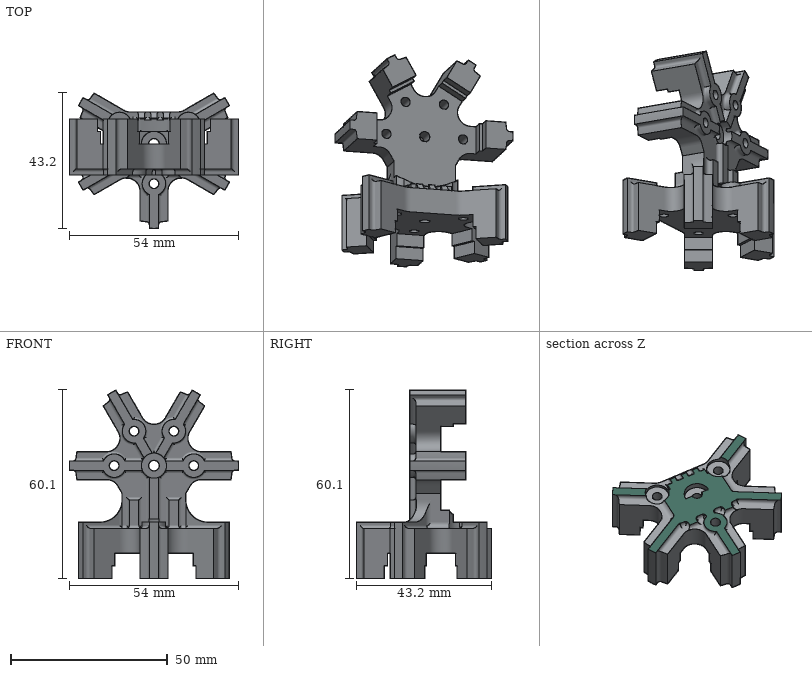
import cadquery as cq
import math

core_radius = 27.0
flange_radius = 25.0
core_half = 1.5
flange_half = 4.5
core_rise = 2.0
root_fillet = 1.0
hub_depth = 10.0
step_depth = 14.0
arm_depth = 18.0
hub_notch = 17.0
step_notch = 18.0

flat_distance = 13.25
web_fillet = 4.0
arm_pitch = 60.0
half_pitch = math.radians(arm_pitch / 2)

boss_distance = 12.7
boss_radius = 3.75
arm_hole_radius = 1.5
boss_fillet = 0.75
hub_recess_radius = 4.0
hub_recess_depth = 3.0
hub_hole_radius = 1.65

base_top = -arm_depth
base_face = base_top - core_rise
base_hub_bottom = base_top - hub_depth
upright_front = -hub_depth
plate_front = upright_front + core_rise
upright_arms = (0, 60, 120, 180)
base_arms = (-150, -90, -30, 30, 150)
base_boss_arm = -90
base_recess_arms = (30, 150)

plate_half = 10.2
block_back = 4.0
mate_clearance = 0.5
side_foot_fillet = 2.0
side_foot_length = 10.0
stem_clearance_radius = 4.5
stem_clearance_height = 1.0
rear_space_height = 8.0
side_rib_x = boss_distance / 2
rib_base_half = core_half + 2 * root_fillet
side_rib_top = -11.0
gusset_radius = 7.0
gusset_blend = 2.0
gusset_setback = 0.2

base_back = 10.2
pad_half = 6.75
pad_back = 7.65
trough_back = 8.0
rear_rib_pitch = 4.0
rear_rib_half = 1.0
rear_rib_fillet = 0.75

arc_mid = 1 - math.sqrt(0.5)


def on_circle(radius, across):
    """Distance along an arm at which a circle about the axis is reached, off the centre line."""
    return math.sqrt(radius ** 2 - across ** 2)


def flared_section(plane, half, height, fillet, base_half, base_depth, length):
    """Bar of the given half width, blended by concave fillets into a wider base below height 0."""
    mid = arc_mid * fillet
    return (
        cq.Workplane(plane)
        .moveTo(-base_half, -base_depth)
        .lineTo(base_half, -base_depth)
        .lineTo(base_half, 0)
        .lineTo(half + fillet, 0)
        .threePointArc((half + mid, mid), (half, fillet))
        .lineTo(half, height)
        .lineTo(-half, height)
        .lineTo(-half, fillet)
        .threePointArc((-half - mid, mid), (-half - fillet, 0))
        .lineTo(-base_half, 0)
        .close()
        .extrude(length)
    )


def arm():
    """Arm along +X, with its core face at Z = 0."""
    tip_shoulder = on_circle(flange_radius, core_half + root_fillet)
    blend_end = tip_shoulder + root_fillet
    mid = arc_mid * root_fillet
    flange_corner = on_circle(flange_radius, flange_half)
    flange_mid = (flange_half + core_half + root_fillet) / 2
    core_corner = on_circle(core_radius, core_half)
    plan = (
        cq.Workplane("XY")
        .moveTo(0, -flange_half)
        .lineTo(flange_corner, -flange_half)
        .threePointArc(
            (on_circle(flange_radius, flange_mid), -flange_mid),
            (tip_shoulder, -core_half - root_fillet),
        )
        .threePointArc((tip_shoulder + mid, -core_half - mid), (blend_end, -core_half))
        .lineTo(core_corner, -core_half)
        .threePointArc((core_radius, 0), (core_corner, core_half))
        .lineTo(blend_end, core_half)
        .threePointArc((tip_shoulder + mid, core_half + mid), (tip_shoulder, core_half + root_fillet))
        .threePointArc((on_circle(flange_radius, flange_mid), flange_mid), (flange_corner, flange_half))
        .lineTo(0, flange_half)
        .close()
        .extrude(-arm_depth)
    )
    section = flared_section(
        "YZ", core_half, core_rise, root_fillet, flange_half, arm_depth, core_radius
    ).translate((0, 0, -core_rise))
    side = (
        cq.Workplane("XZ")
        .polyline([
            (0, 0),
            (core_radius, 0),
            (core_radius, -arm_depth),
            (step_notch, -arm_depth),
            (step_notch, -step_depth),
            (hub_notch, -step_depth),
            (hub_notch, -hub_depth),
            (0, -hub_depth),
        ])
        .close()
        .extrude(flange_half, both=True)
    )
    return plan.intersect(section).intersect(side)


def boss(radius, fillet):
    """Round boss at the origin with its top at Z = 0 and a concave fillet around its foot."""
    mid = arc_mid * fillet
    return (
        cq.Workplane("XZ")
        .moveTo(0, 0)
        .lineTo(radius, 0)
        .lineTo(radius, fillet - core_rise)
        .threePointArc((radius + mid, mid - core_rise), (radius + fillet, -core_rise))
        .lineTo(0, -core_rise)
        .close()
        .revolve(360, (0, 0, 0), (0, 1, 0))
    )


def arm_boss():
    """Boss on an arm along +X, trimmed to the flange width."""
    blank = boss(boss_radius, boss_fillet).translate((boss_distance, 0, 0))
    return blank.intersect(cq.Workplane("XY").box(2 * core_radius, 2 * flange_half, 2 * core_rise))


def web_points():
    """One half of the outline between two arms, in axes turned so that X bisects the arms.

    Returns the points on the flange edge, the middle of the blend and the start of the flat.
    """
    corner = (flat_distance * math.sin(half_pitch) - flange_half) / math.cos(half_pitch)
    flat_half = corner - web_fillet * math.tan(half_pitch)
    centre = (flat_distance + web_fillet, flat_half)

    def blend_point(turn):
        return (centre[0] - web_fillet * math.cos(turn), centre[1] + web_fillet * math.sin(turn))

    return blend_point(2 * half_pitch), blend_point(half_pitch), (flat_distance, flat_half)


def web(angle):
    """Hub body between two arms, about the given direction."""
    edge, mid, flat = web_points()
    return (
        cq.Workplane("XY")
        .workplane(offset=-hub_depth)
        .moveTo(0, 0)
        .lineTo(edge[0], -edge[1])
        .threePointArc((mid[0], -mid[1]), (flat[0], -flat[1]))
        .lineTo(*flat)
        .threePointArc(mid, edge)
        .close()
        .extrude(hub_depth - core_rise)
        .rotate((0, 0, 0), (0, 0, 1), angle)
    )


def turned(shape, angle):
    return shape.rotate((0, 0, 0), (0, 0, 1), angle)


def hub(arm_angles, boss_angles, web_angles):
    """Hub about the Z axis with its core face at Z = 0."""
    body = boss(boss_radius, root_fillet)
    for angle in web_angles:
        body = body.union(web(angle))
    for angle in arm_angles:
        body = body.union(turned(arm(), angle))
    for angle in boss_angles:
        body = body.union(turned(arm_boss(), angle))
    return body


def arm_holes(angles):
    holes = cq.Workplane("XY")
    for angle in angles:
        hole = cq.Workplane("XY").center(boss_distance, 0).circle(arm_hole_radius).extrude(-hub_depth)
        holes = holes.add(turned(hole, angle))
    return holes.combine()


def to_upright(shape):
    """Turns a hub about Z into the upright hub about Y, facing -Y."""
    return shape.rotate((0, 0, 0), (1, 0, 0), 90).translate((0, upright_front, 0))


def to_base(shape):
    return shape.translate((0, 0, base_top))


def base_rear():
    """Body of the base hub between the two rear arms, ending in a straight back edge."""
    slope = half_pitch
    corner_x = (base_back - flange_half / math.cos(slope)) / math.tan(slope)
    setback = web_fillet * math.tan(slope / 2)
    flat_x = corner_x - setback
    edge = (corner_x + setback * math.cos(slope), base_back + setback * math.sin(slope))
    mid = (
        flat_x + web_fillet * math.sin(slope / 2),
        base_back + web_fillet * (1 - math.cos(slope / 2)),
    )
    return (
        cq.Workplane("XY")
        .workplane(offset=base_hub_bottom)
        .moveTo(0, 0)
        .lineTo(*edge)
        .threePointArc(mid, (flat_x, base_back))
        .lineTo(-flat_x, base_back)
        .threePointArc((-mid[0], mid[1]), (-edge[0], edge[1]))
        .close()
        .extrude(base_face - base_hub_bottom)
    )


def plate_half_body():
    """The +X half of the plate that runs down from the upright hub to the base."""
    edge, mid, flat = web_points()

    def place(point):
        x, z = point
        turn = -half_pitch
        return (
            x * math.cos(turn) - z * math.sin(turn),
            x * math.sin(turn) + z * math.cos(turn),
        )

    shoulder_z = (plate_half * math.cos(half_pitch) - flat_distance) / math.sin(half_pitch)
    return (
        cq.Workplane("XZ")
        .moveTo(0, 0)
        .lineTo(*place(edge))
        .threePointArc(place(mid), place(flat))
        .lineTo(plate_half, shoulder_z)
        .lineTo(plate_half, base_face)
        .lineTo(0, base_face)
        .close()
        .extrude(-plate_front)
    )


def cylinder_y(radius, y_start, y_end):
    return cq.Workplane("XZ").workplane(offset=-y_start).circle(radius).extrude(y_start - y_end)


def rear_block():
    """Block behind the plate, hollowed to clear a part that turns about the upright axis."""
    height = -base_face
    block = cq.Workplane("XY").box(2 * plate_half, block_back, height, centered=(True, False, False))
    block = block.translate((0, 0, base_face))
    return block.cut(cylinder_y(hub_notch + mate_clearance, 0, block_back))


def rear_pad():
    """Pad behind the block, level with the base core, with a blended back foot and three ramped ribs."""
    mid = arc_mid * root_fillet
    pad = (
        cq.Workplane("YZ")
        .moveTo(block_back, base_face)
        .lineTo(pad_back + root_fillet, base_face)
        .threePointArc((pad_back + mid, base_face + mid), (pad_back, base_face + root_fillet))
        .lineTo(pad_back, base_top)
        .lineTo(block_back, base_top)
        .close()
        .extrude(pad_half, both=True)
    )
    ramp = (
        cq.Workplane("YZ")
        .polyline([
            (block_back, base_face),
            (base_back, base_face),
            (base_back - core_rise, base_top),
            (block_back, base_top),
        ])
        .close()
        .extrude(pad_half, both=True)
    )
    bar = flared_section(
        "XZ",
        rear_rib_half,
        core_rise,
        rear_rib_fillet,
        rear_rib_half + rear_rib_fillet + root_fillet,
        root_fillet,
        -base_back,
    ).translate((0, 0, base_face))
    for index in (-1, 0, 1):
        pad = pad.union(bar.translate((index * rear_rib_pitch, 0, 0)).intersect(ramp))
    return pad.cut(cylinder_y(step_notch + mate_clearance, block_back, trough_back))


def front_rib(top, bottom):
    """Vertical rib on the plate front at X = 0."""
    rib = flared_section("XY", core_half, core_rise, root_fillet, rib_base_half, root_fillet, top - bottom)
    return rib.rotate((0, 0, 0), (0, 0, 1), 180).translate((0, plate_front, bottom))


def quarter_fillet(radius, length):
    """Concave fillet along Y, in the corner between the planes X = 0 and Z = 0."""
    mid = arc_mid * radius
    return (
        cq.Workplane("XZ")
        .moveTo(0, 0)
        .lineTo(radius, 0)
        .threePointArc((mid, mid), (0, radius))
        .close()
        .extrude(length / 2, both=True)
    )


def side_rib():
    """Short rib at X = 0 with a blended top end and a flared foot on the base."""
    rib = front_rib(side_rib_top + root_fillet, base_face)
    mid = arc_mid * root_fillet
    end = (
        cq.Workplane("YZ")
        .moveTo(0, base_face)
        .lineTo(upright_front, base_face)
        .lineTo(upright_front, side_rib_top)
        .lineTo(plate_front - root_fillet, side_rib_top)
        .threePointArc(
            (plate_front - mid, side_rib_top + mid),
            (plate_front, side_rib_top + root_fillet),
        )
        .lineTo(0, side_rib_top + root_fillet)
        .close()
        .extrude(flange_half, both=True)
    )
    foot_width = flared_section(
        "XZ", core_half, core_rise, root_fillet, flange_half, root_fillet, 2 * hub_depth
    ).translate((0, 0, base_face))
    foot_reach = (
        cq.Workplane("YZ")
        .moveTo(plate_front, base_face)
        .lineTo(upright_front - root_fillet, base_face)
        .threePointArc(
            (upright_front - mid, base_face + mid),
            (upright_front, base_face + root_fillet),
        )
        .lineTo(plate_front, base_face + root_fillet)
        .close()
        .extrude(flange_half, both=True)
    )
    return rib.intersect(end).union(foot_width.intersect(foot_reach))


def plate_feet():
    """Fillets where the plate front and sides meet the flange face of the base."""
    front = turned(quarter_fillet(root_fillet, 2 * plate_half), -90).translate((0, plate_front, base_face))
    side = quarter_fillet(side_foot_fillet, side_foot_length).translate((plate_half, 0, base_face))
    return front.union(side).union(side.mirror("YZ"))


def gusset():
    """Curved gusset between the plate side and the core of the base arm pointing to +X, -Y."""
    slope = math.tan(half_pitch)
    tip_x = plate_half + gusset_radius
    core_spread = core_half / math.cos(half_pitch)

    def core_edge(x, side):
        return side * core_spread - x * slope

    blend_length = gusset_blend * math.tan(half_pitch)
    corner_y = core_edge(plate_half, 1)
    blend_x = plate_half + blend_length * math.cos(half_pitch)
    blend_centre = (plate_half + gusset_blend, corner_y + blend_length)
    blend_mid = (
        blend_centre[0] - gusset_blend * math.cos(half_pitch),
        blend_centre[1] - gusset_blend * math.sin(half_pitch),
    )
    plan = (
        cq.Workplane("XY")
        .workplane(offset=base_face)
        .moveTo(plate_half, plate_front + gusset_setback)
        .lineTo((-core_spread - plate_front) / slope, plate_front)
        .lineTo(tip_x, core_edge(tip_x, -1))
        .lineTo(tip_x, core_edge(tip_x, 1))
        .lineTo(blend_x, core_edge(blend_x, 1))
        .threePointArc(blend_mid, (plate_half, corner_y + blend_length))
        .close()
        .extrude(core_rise + gusset_radius)
    )
    foot = cq.Workplane("XY").box(gusset_radius, 2 * core_radius, core_rise, centered=(False, True, False))
    curve = quarter_fillet(gusset_radius, 2 * core_radius).translate((0, 0, core_rise)).union(foot)
    return plan.intersect(curve.translate((plate_half, 0, base_face)))


def head_space(angle, radius, floor, height):
    """Space for a screw head on an arm of the base, rising from the given floor level."""
    space = cq.Workplane("XY").workplane(offset=floor).center(boss_distance, 0)
    return turned(space.circle(radius).extrude(height), angle)


def base_hub_recess():
    """Screw recess in the middle of the base hub, open only behind the plate."""
    space = cq.Workplane("XY").workplane(offset=base_top - hub_recess_depth).circle(hub_recess_radius)
    behind = cq.Workplane("XY").box(hub_depth, hub_depth, 2 * core_radius, centered=(True, False, True))
    return space.extrude(2 * hub_recess_depth).intersect(behind)


plate = plate_half_body()
plate = plate.union(plate.mirror("YZ"))
link = plate.union(rear_block()).union(rear_pad()).union(plate_feet())
link = link.union(front_rib(0, base_face))
link = link.union(gusset()).union(gusset().mirror("YZ"))
for rib_x in (-side_rib_x, side_rib_x):
    link = link.union(side_rib().translate((rib_x, 0, 0)))
link = link.cut(head_space(base_boss_arm, stem_clearance_radius, base_top, stem_clearance_height))

upright = to_upright(hub(upright_arms, upright_arms, (30, 90, 150)))
base = to_base(hub(base_arms, (base_boss_arm,), (-120, -60, 0, 180))).union(base_rear())
part = link.union(upright).union(base)

for rear_angle in base_recess_arms:
    part = part.cut(head_space(rear_angle, boss_radius, base_top - hub_recess_depth, rear_space_height))
part = part.cut(base_hub_recess())
upright_recess = cq.Workplane("XY").circle(hub_recess_radius).extrude(-hub_recess_depth)
part = part.cut(to_upright(upright_recess))

hub_hole = cq.Workplane("XY").circle(hub_hole_radius).extrude(-hub_depth)
part = part.cut(to_upright(hub_hole)).cut(to_upright(arm_holes(upright_arms)))
part = part.cut(to_base(hub_hole)).cut(to_base(arm_holes((base_boss_arm, *base_recess_arms))))

result = part